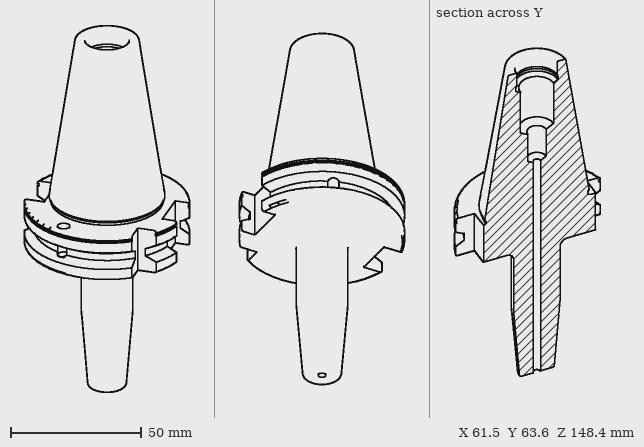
import cadquery as cq
import math


gauge_radius = 22.3
taper_length = 68.4
taper_slope = 7 / 48
taper_end_fillet = 1.0
taper_foot = 1.3

relief_radius = 21.7
relief_top = 0.5
flare_height = 0.5
flare_radius = 23.2

flange_radius = 31.8
flange_top = -1.0
flange_bottom = -19.1
flange_top_fillet = 1.0
flange_bottom_fillet = 0.9

ring_groove_top = -2.4
ring_groove_height = 0.9
ring_groove_depth = 0.5

v_groove_middle = -11.0
v_groove_radius = 28.2
v_groove_floor_width = 3.0
v_groove_flank_angle = 30

nose_end = -80.0
nose_radius = 10.0
nose_fillet = 3.0
nose_cone_top = -48.0
nose_end_radius = 7.4
nose_end_fillet = 1.2

bore_radius = 8.5
bore_fillet = 0.7
bore_depth = 6.4
undercut_radius = 8.9
undercut_taper_end = 7.7
undercut_depth = 8.9
thread_radius = 7.0
thread_depth = 29.7
pilot_radius = 3.9
pilot_depth = 44.5
coolant_radius = 1.5
drill_half_angle = 60

slot_width = 16.2
slot_top = 0.0
left_slot_x = -22.7
right_slot_x = 25.0
notch_corner = 18.4

side_hole_radius = 2.4
side_hole_x = 9.2
side_hole_y = 25.5
side_hole_bottom = -13.4


def revolve_about_z(points):
    return cq.Workplane("XZ").polyline(points).close().revolve(360, (0, 0, 0), (0, 1, 0))


def make_taper():
    end_radius = gauge_radius - taper_length * taper_slope
    taper = revolve_about_z([
        (0, taper_length),
        (end_radius, taper_length),
        (gauge_radius, taper_foot),
        (relief_radius, relief_top),
        (relief_radius, flange_top + flare_height),
        (flare_radius, flange_top),
        (0, flange_top),
    ])
    return taper.faces(">Z").edges().fillet(taper_end_fillet)


def make_flange():
    floor_half = v_groove_floor_width / 2
    flank_height = (flange_radius - v_groove_radius) * math.tan(math.radians(v_groove_flank_angle))
    mouth_half = floor_half + flank_height
    ring_radius = flange_radius - ring_groove_depth
    ring_groove_bottom = ring_groove_top - ring_groove_height
    flange = revolve_about_z([
        (0, flange_top),
        (flange_radius, flange_top),
        (flange_radius, ring_groove_top),
        (ring_radius, ring_groove_top),
        (ring_radius, ring_groove_bottom),
        (flange_radius, ring_groove_bottom),
        (flange_radius, v_groove_middle + mouth_half),
        (v_groove_radius, v_groove_middle + floor_half),
        (v_groove_radius, v_groove_middle - floor_half),
        (flange_radius, v_groove_middle - mouth_half),
        (flange_radius, flange_bottom),
        (0, flange_bottom),
    ])
    flange = flange.faces(">Z").edges().fillet(flange_top_fillet)
    return flange.faces("<Z").edges().fillet(flange_bottom_fillet)


def make_nose():
    arc_offset = nose_fillet * (1 - math.sqrt(0.5))
    nose = (
        cq.Workplane("XZ")
        .moveTo(0, flange_bottom)
        .lineTo(nose_radius + nose_fillet, flange_bottom)
        .threePointArc(
            (nose_radius + arc_offset, flange_bottom - arc_offset),
            (nose_radius, flange_bottom - nose_fillet),
        )
        .lineTo(nose_radius, nose_cone_top)
        .lineTo(nose_end_radius, nose_end)
        .lineTo(0, nose_end)
        .close()
        .revolve(360, (0, 0, 0), (0, 1, 0))
    )
    return nose.faces("<Z").edges().fillet(nose_end_fillet)


def drill_cone_height(radius_change):
    return radius_change / math.tan(math.radians(drill_half_angle))


def make_bore():
    thread_top = taper_length - undercut_depth - drill_cone_height(undercut_radius - thread_radius)
    thread_bottom = taper_length - thread_depth
    pilot_top = thread_bottom - drill_cone_height(thread_radius - pilot_radius)
    pilot_bottom = taper_length - pilot_depth
    coolant_top = pilot_bottom - drill_cone_height(pilot_radius - coolant_radius)
    return revolve_about_z([
        (0, taper_length),
        (bore_radius, taper_length),
        (bore_radius, taper_length - bore_depth),
        (undercut_radius, taper_length - undercut_taper_end),
        (undercut_radius, taper_length - undercut_depth),
        (thread_radius, thread_top),
        (thread_radius, thread_bottom),
        (pilot_radius, pilot_top),
        (pilot_radius, pilot_bottom),
        (coolant_radius, coolant_top),
        (coolant_radius, nose_end),
        (0, nose_end),
    ])


def make_flange_cutter(x_from, x_to, y_from, y_to):
    return (
        cq.Workplane("XY", origin=(0, 0, flange_bottom))
        .moveTo(x_from, y_from)
        .lineTo(x_to, y_from)
        .lineTo(x_to, y_to)
        .lineTo(x_from, y_to)
        .close()
        .extrude(slot_top - flange_bottom)
    )


def make_side_hole(x, y):
    hole = revolve_about_z([
        (0, flange_top),
        (side_hole_radius, flange_top),
        (side_hole_radius, side_hole_bottom),
        (0, side_hole_bottom - drill_cone_height(side_hole_radius)),
    ])
    return hole.translate((x, y, 0))


result = make_taper().union(make_flange()).union(make_nose())
result = result.cut(make_bore())
bore_mouth = cq.selectors.RadiusNthSelector(0)
result = result.faces(">Z").edges(bore_mouth).fillet(bore_fillet)

half_slot = slot_width / 2
result = result.cut(make_flange_cutter(-flange_radius, left_slot_x, -half_slot, half_slot))
result = result.cut(make_flange_cutter(right_slot_x, flange_radius, -half_slot, half_slot))
result = result.cut(make_flange_cutter(notch_corner, flange_radius, -flange_radius, -notch_corner))

for side in (1, -1):
    result = result.cut(make_side_hole(side * side_hole_x, side * side_hole_y))